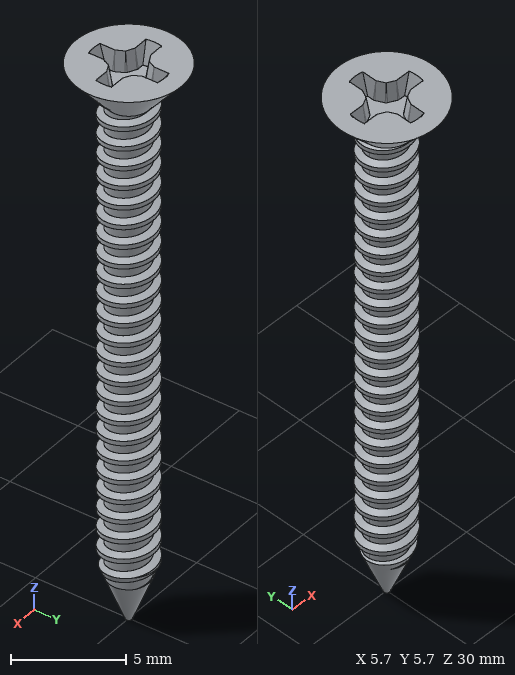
import cadquery as cq
import math

length = 30.0
head_radius = 2.85
head_height = 2.07
core_radius = 1.08
tip_radius = 0.165
point_height = 2.35

thread_radius = 2.85 / 2
thread_start = 1.92
thread_rise = 27.05
thread_turns = 25.5
crest_width = 0.25
root_width = 0.55
root_overlap = 0.1

recess_depth = 1.05
recess_radius = 1.9
arm_half_width = 0.42
facet_start = 1.05
facet_corner = 0.63
wall_draft = 9.0
arm_end_draft = 24.5


def revolve_profile(points):
    """Turn a closed (radius, height) outline about Z, with its seam on the -X side."""
    outline = [(-radius, height) for radius, height in points]
    return cq.Workplane("XZ").polyline(outline).close().revolve(360, (0, 0, 0), (0, 1, 0))


def make_core():
    """Plain cylinder from the tip up to the level of the recess floor."""
    core_top = length - recess_depth
    return revolve_profile([(0, 0), (core_radius, 0), (core_radius, core_top), (0, core_top)])


def make_thread():
    """Sweep a trapezoidal ridge along a helix; its root is sunk into the core."""
    inner_radius = core_radius - root_overlap
    flank_slope = (root_width - crest_width) / 2 / (thread_radius - core_radius)
    inner_half = root_width / 2 + flank_slope * root_overlap
    pitch = thread_rise / thread_turns
    helix = cq.Wire.makeHelix(pitch, thread_rise, core_radius)
    ridge = (
        cq.Workplane("XZ")
        .polyline([
            (inner_radius, -inner_half),
            (thread_radius, -crest_width / 2),
            (thread_radius, crest_width / 2),
            (inner_radius, inner_half),
        ])
        .close()
        .sweep(cq.Workplane(helix), isFrenet=True)
    )
    return ridge.translate((0, 0, thread_start))


def make_head():
    """Countersunk head: a full cone whose lower end lies inside the core."""
    cone_height = head_radius * head_height / (head_radius - core_radius)
    return revolve_profile([(0, length - cone_height), (head_radius, length), (0, length)])


def make_point_envelope():
    """Cone of the point, carried on outwards until it clears the head, then straight up."""
    point_slope = (core_radius - tip_radius) / point_height
    clear_radius = head_radius + 0.3
    clear_height = (clear_radius - tip_radius) / point_slope
    return revolve_profile([
        (0, 0),
        (tip_radius, 0),
        (clear_radius, clear_height),
        (clear_radius, length),
        (0, length),
    ])


def cross_points():
    """Four-armed outline whose arms run a little beyond the recess radius."""
    reach = recess_radius + 0.3
    quarter = [
        (reach, -arm_half_width),
        (reach, arm_half_width),
        (facet_start, arm_half_width),
        (facet_corner, facet_corner),
        (arm_half_width, facet_start),
    ]
    points = []
    for turn in range(4):
        cosine = round(math.cos(turn * math.pi / 2))
        sine = round(math.sin(turn * math.pi / 2))
        points += [(cosine * x - sine * y, sine * x + cosine * y) for x, y in quarter]
    return points


def make_recess():
    """Cross with sloping walls, its arms ended by a cone that narrows downwards."""
    head_top = cq.Workplane("XY", origin=(0, 0, length))
    cross = head_top.polyline(cross_points()).close().extrude(-recess_depth, taper=wall_draft)
    arm_ends = head_top.circle(recess_radius).extrude(-recess_depth, taper=arm_end_draft)
    return cross.intersect(arm_ends)


threaded_core = make_core().union(make_thread())
headed_blank = threaded_core.union(make_head())
pointed_screw = headed_blank.intersect(make_point_envelope())
result = pointed_screw.cut(make_recess())